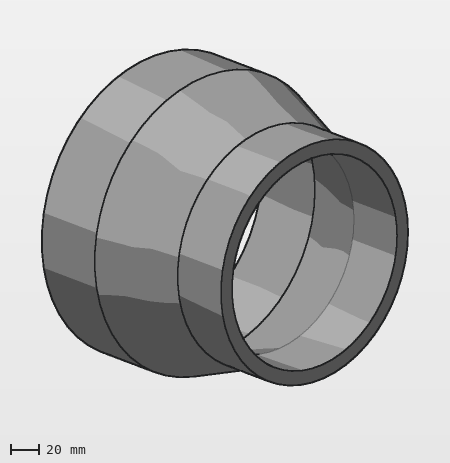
import cadquery as cq

wide_diameter = 225.0
narrow_diameter = 180.0
wide_bore = 198.5
narrow_bore = 158.6

total_length = 162.0
wide_length = 55.1
narrow_length = 45.0

cone_start = wide_length
cone_end = total_length - narrow_length


def reducer_body(wide, narrow):
    """Solid of revolution: wide cylinder, cone, narrow cylinder."""
    return (
        cq.Workplane("XY")
        .lineTo(0, wide / 2)
        .lineTo(cone_start, wide / 2)
        .lineTo(cone_end, narrow / 2)
        .lineTo(total_length, narrow / 2)
        .lineTo(total_length, 0)
        .close()
        .revolve(360, (0, 0, 0), (1, 0, 0))
    )


outer_body = reducer_body(wide_diameter, narrow_diameter)
bore = reducer_body(wide_bore, narrow_bore)

result = outer_body.cut(bore)